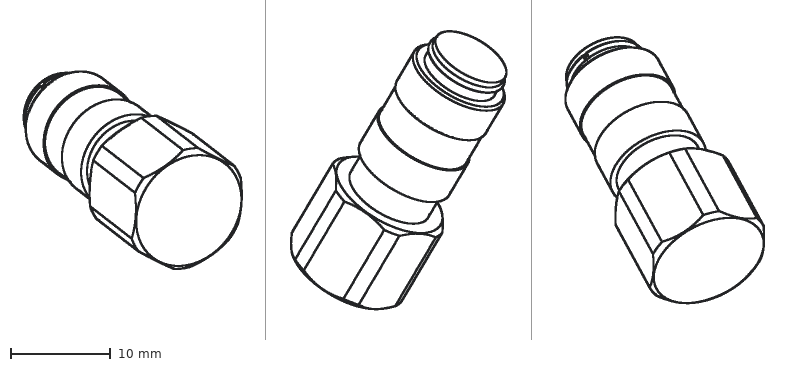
import cadquery as cq
import math

TOTAL_LENGTH = 28.05

COLLAR_START = 2.4
BAND_START = 6.55
BAND_END = 10.52
COLLAR_END = 14.67
HEX_START = 18.06

SPIGOT_DIAMETER = 8.0
COLLAR_DIAMETER = 10.35
BAND_DIAMETER = 10.0
NECK_DIAMETER = 9.0
COLLAR_CHAMFER = 0.28

HEX_ACROSS_FLATS = 12.0
HEX_CORNER_DIAMETER = 13.0
HEX_FACE_DIAMETER = 11.9
HEX_FRONT_CHAMFER_LENGTH = 0.42
HEX_BACK_CHAMFER_LENGTH = 0.53
HEX_CORNER_TILT = 4.3

RING_OUTER_DIAMETER = 8.55
WIRE_DIAMETER = 0.65
RING_INNER_DIAMETER = RING_OUTER_DIAMETER - 2 * WIRE_DIAMETER
RING_POSITION = 0.95
RING_GAP_ANGLE = 6.0
RING_GAP_ELEVATION = 57.0


def cylinder(start, end, diameter):
    """Round bar along X between two stations."""
    return cq.Workplane("YZ").workplane(offset=start).circle(diameter / 2).extrude(end - start)


def make_turned_front():
    """Spigot, chamfered collar, recessed band, rear collar and neck."""
    spigot = cylinder(0, COLLAR_START, SPIGOT_DIAMETER)
    collar = cylinder(COLLAR_START, BAND_START, COLLAR_DIAMETER).faces("<X").chamfer(COLLAR_CHAMFER)
    band = cylinder(BAND_START, BAND_END, BAND_DIAMETER)
    rear_collar = cylinder(BAND_END, COLLAR_END, COLLAR_DIAMETER)
    neck = cylinder(COLLAR_END, HEX_START, NECK_DIAMETER)
    return spigot.union(collar).union(band).union(rear_collar).union(neck)


def make_hexagon():
    """Hexagonal prism trimmed by a turned blank with conical ends."""
    corner_to_corner = HEX_ACROSS_FLATS / math.cos(math.radians(30))
    prism = (
        cq.Workplane("YZ")
        .workplane(offset=HEX_START)
        .polygon(6, corner_to_corner)
        .extrude(TOTAL_LENGTH - HEX_START)
        .rotate((0, 0, 0), (1, 0, 0), 90 - HEX_CORNER_TILT)
    )
    blank = (
        cq.Workplane("XY")
        .moveTo(HEX_START, 0)
        .lineTo(HEX_START, HEX_FACE_DIAMETER / 2)
        .lineTo(HEX_START + HEX_FRONT_CHAMFER_LENGTH, HEX_CORNER_DIAMETER / 2)
        .lineTo(TOTAL_LENGTH - HEX_BACK_CHAMFER_LENGTH, HEX_CORNER_DIAMETER / 2)
        .lineTo(TOTAL_LENGTH, HEX_FACE_DIAMETER / 2)
        .lineTo(TOTAL_LENGTH, 0)
        .close()
        .revolve(360, (0, 0, 0), (1, 0, 0))
    )
    return prism.intersect(blank)


def make_ring_groove():
    """Square-sided annular cutter that just takes the wire of the snap ring."""
    start = RING_POSITION - WIRE_DIAMETER / 2
    end = start + WIRE_DIAMETER
    return cylinder(start, end, RING_OUTER_DIAMETER).cut(cylinder(start, end, RING_INNER_DIAMETER))


def make_coupling_body():
    """Turned body and hexagon in one piece, with the ring groove."""
    return make_turned_front().union(make_hexagon()).cut(make_ring_groove())


def make_snap_ring():
    """Open ring of round wire, its gap turned to face up and toward -Y."""
    path_radius = (RING_OUTER_DIAMETER + RING_INNER_DIAMETER) / 4
    first_end = 180 - RING_GAP_ELEVATION + RING_GAP_ANGLE / 2
    return (
        cq.Workplane("XY")
        .center(RING_POSITION, path_radius)
        .circle(WIRE_DIAMETER / 2)
        .revolve(360 - RING_GAP_ANGLE, (0, -path_radius, 0), (1, -path_radius, 0))
        .rotate((0, 0, 0), (1, 0, 0), first_end)
    )


coupling_body = make_coupling_body()
snap_ring = make_snap_ring()

result = cq.Compound.makeCompound([coupling_body.val(), snap_ring.val()])